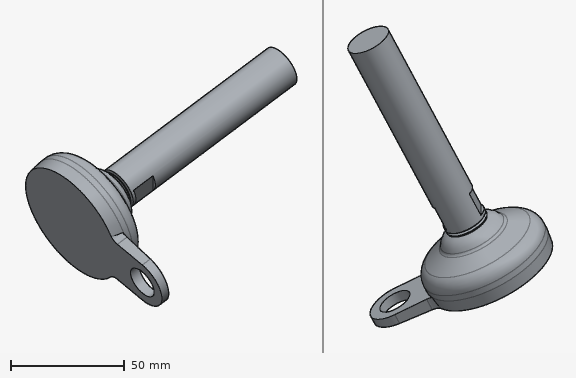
import cadquery as cq
import math


sole_radius = 29.3
rim_diameter = 60.0
rim_start = 6.1
rim_end = 9.1
shoulder_round = 7.4
cone_angle = 25.0
cone_top_radius = 16.6
dome_base_radius = 15.5
dome_base_height = 21.2
dome_top_radius = 9.7
dome_top_height = 26.1

ring_radius = 10.0
ring_side_radius = 9.1
ring_half_height = 0.8

lug_radius = 12.5
overall_width = 88.0
lug_hole_diameter = 15.1
lug_tip_height = 4.2
lug_root_fillet = 5.1

total_length = 128.0
stud_radius = 10.0
stud_start = 28.3
neck_radius = 7.7
flats_width = 16.9
flats_start = 30.0
flats_end = 41.7

cone_slope = math.radians(cone_angle)
rim_radius = rim_diameter / 2
shoulder_center_radius = rim_radius - shoulder_round
ring_edge_height = dome_top_height + ring_half_height
foot_top = ring_edge_height + ring_half_height
lug_tip = overall_width - rim_radius
lug_reach = lug_tip - lug_radius


def shoulder_point(angle):
    """Point on the rounded shoulder, with the angle measured from the radial direction."""
    return (
        shoulder_center_radius + shoulder_round * math.cos(angle),
        rim_end + shoulder_round * math.sin(angle),
    )


def make_foot_body():
    """Revolved foot with tapered side, rounded shoulder, cone, dome and ring."""
    shoulder_sweep = math.pi / 2 - cone_slope
    cone_base = shoulder_point(shoulder_sweep)
    cone_top_height = cone_base[1] + (cone_base[0] - cone_top_radius) * math.tan(cone_slope)
    return (
        cq.Workplane("XY")
        .lineTo(sole_radius, 0)
        .lineTo(rim_radius, rim_start)
        .lineTo(rim_radius, rim_end)
        .threePointArc(shoulder_point(shoulder_sweep / 2), cone_base)
        .lineTo(cone_top_radius, cone_top_height)
        .tangentArcPoint((dome_base_radius, dome_base_height), relative=False)
        .tangentArcPoint((dome_top_radius, dome_top_height), relative=False)
        .lineTo(ring_side_radius, dome_top_height)
        .lineTo(ring_radius, ring_edge_height)
        .lineTo(ring_side_radius, foot_top)
        .lineTo(0, foot_top)
        .close()
        .revolve(360, (0, 0), (0, 1))
    )


def make_lug():
    """Round-ended lug with hollow fillets at its root, thinning toward its tip."""
    fillet_z = lug_radius + lug_root_fillet
    fillet_x = math.sqrt((sole_radius + lug_root_fillet) ** 2 - fillet_z**2)
    root_angle = math.atan2(fillet_z, fillet_x)
    root_x = sole_radius * math.cos(root_angle)
    root_z = sole_radius * math.sin(root_angle)
    middle_angle = (root_angle + math.pi / 2) / 2
    middle_x = fillet_x - lug_root_fillet * math.cos(middle_angle)
    middle_z = fillet_z - lug_root_fillet * math.sin(middle_angle)
    outline = (
        cq.Workplane("XZ")
        .lineTo(root_x, -root_z)
        .threePointArc((middle_x, -middle_z), (fillet_x, -lug_radius))
        .lineTo(lug_reach, -lug_radius)
        .threePointArc((lug_tip, 0), (lug_reach, lug_radius))
        .lineTo(fillet_x, lug_radius)
        .threePointArc((middle_x, middle_z), (root_x, root_z))
        .close()
        .extrude(-rim_start)
    )
    taper = (
        cq.Workplane("XY")
        .lineTo(lug_tip, 0)
        .lineTo(lug_tip, lug_tip_height)
        .lineTo(root_x, rim_start)
        .lineTo(0, rim_start)
        .close()
        .extrude(root_z, both=True)
    )
    return outline.intersect(taper)


def make_foot():
    """Foot body joined with its lug, with the lug hole drilled through."""
    hole = (
        cq.Workplane("XZ")
        .center(lug_reach, 0)
        .circle(lug_hole_diameter / 2)
        .extrude(-rim_start)
    )
    return make_foot_body().union(make_lug()).cut(hole)


def make_stud():
    """Plain round stud with two wrench flats, standing on the foot by a short neck."""
    stud = (
        cq.Workplane("XY")
        .moveTo(0, foot_top)
        .lineTo(neck_radius, foot_top)
        .lineTo(neck_radius, stud_start)
        .lineTo(stud_radius, stud_start)
        .lineTo(stud_radius, total_length)
        .lineTo(0, total_length)
        .close()
        .revolve(360, (0, 0), (0, 1))
    )
    flat_depth = stud_radius - flats_width / 2
    for side in (-1, 1):
        flat_center_x = side * (flats_width + flat_depth) / 2
        flat_center_y = (flats_start + flats_end) / 2
        flat = (
            cq.Workplane("XY")
            .center(flat_center_x, flat_center_y)
            .rect(flat_depth, flats_end - flats_start)
            .extrude(stud_radius, both=True)
        )
        stud = stud.cut(flat)
    return stud


foot = make_foot()
stud = make_stud()
result = cq.Compound.makeCompound([foot.val(), stud.val()])